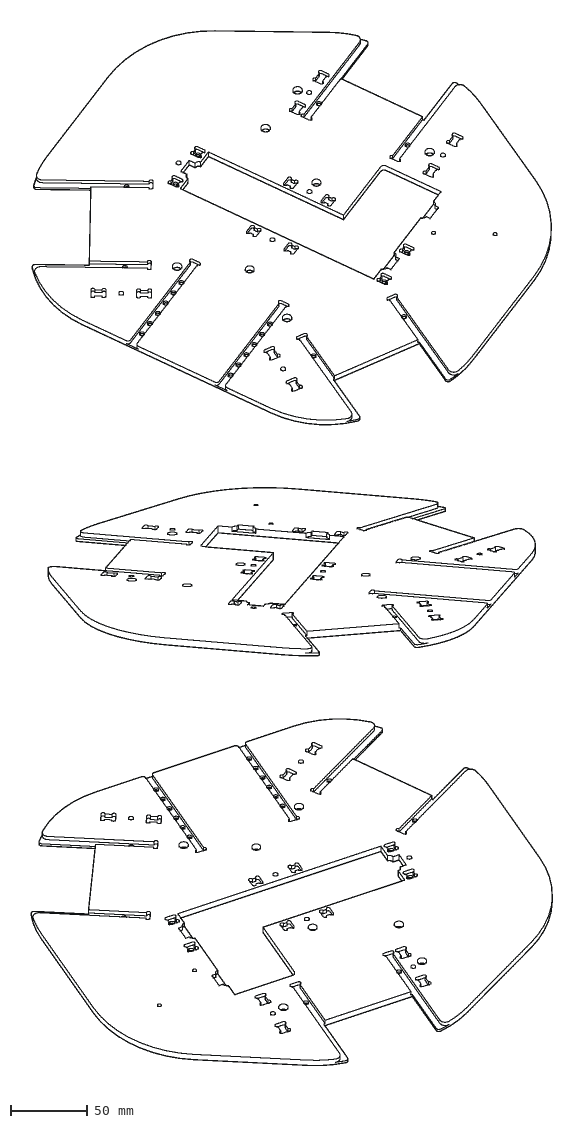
import cadquery as cq
import math

half_width = 162.8
bottom_y = -135.0
plate_thickness = 5.0
pocket_depth = 3.0
floor_thickness = plate_thickness - pocket_depth
tip_side_distance = 165.0
slanted_side_distance = 163.8
shoulder_radius = 80.0
tip_radius = 70.0

notch_angles = (90, 210, 330)
notch_half_width = 32.2
notch_floor_distance = 126.3
slot_offset = 34.0
slot_width = 5.2
slot_end_distance = 85.5
slot_hole_distance = 103.0
floor_tip_radius = 2.0
top_tip_radius = 4.0

bottom_slot_end_y = -54.0
bottom_slot_mouth_radius = 2.0
bottom_hole_count = 6
bottom_hole_first_y = -72.5
bottom_hole_pitch = 50.0 / (bottom_hole_count - 1)

opening_half_width = 74.0
opening_bottom_y = -7.0
opening_step_y = 28.5
opening_top_y = 78.5
opening_step_x = 29.3
opening_corner_radius = 2.5
opening_mid_y = (opening_bottom_y + opening_step_y) / 2
key_height = 10.7
key_mouth_radius = 2.5
left_key_length = 7.0
right_key_length = 5.5
right_key_spacing = 50.0

relief_diameter = 2.5
pocket_width = 5.2
long_pocket = 9.8
short_pocket = 7.5
long_pair_spacing = 30.0
short_pair_spacing = 28.5
top_joint_y = 105.5
top_joint_xs = (-43.0, 59.3)
slanted_joint_x = 62.0
slanted_joint_y = -102.5
slanted_joint_angle = 30
opening_joint_x = 79.8
opening_joint_ys = (-13.0, 34.2)

large_hole = 6.2
centre_hole = 6.0
small_hole = 3.3
pocket_hole = 3.2
pilot_hole = 2.5
large_hole_points = [(-50.5, 103.2), (50.5, 103.2), (-52.0, 65.0), (-42.0, -64.5), (42.0, -64.5)]
centre_hole_points = [(0, 43.0), (0, -42.0)]
pilot_hole_points = [(122.7, 66.0), (87.5, 46.2)]
keyway_hole_x = -86.0

reach = 130.2
tolerance = 0.03


def rotated(x, y, angle):
    """Point turned about the hub by an angle in degrees."""
    a = math.radians(angle)
    return x * math.cos(a) - y * math.sin(a), x * math.sin(a) + y * math.cos(a)


def turned(solid, angle):
    """Solid turned about the vertical axis through the hub."""
    return solid.rotate((0, 0, 0), (0, 0, 1), angle)


def box(x0, x1, y0, y1, height):
    """Box that stands on Z = 0."""
    return cq.Workplane("XY").box(x1 - x0, y1 - y0, height, centered=False).translate((x0, y0, 0))


def discs(points, diameter, height):
    """Upright cylinders that stand on Z = 0."""
    return cq.Workplane("XY").pushPoints(points).circle(diameter / 2).extrude(height)


def vertical_edges(solid, wanted):
    """Vertical edges of the solid whose X and Y pass the given test."""
    edges = [e for e in solid.edges("|Z").vals() if wanted(e.Center().x, e.Center().y)]
    return solid.newObject(edges)


def side_corner(side_a, side_b):
    """Corner of two sides, each given by its normal angle and hub distance."""
    angle_a, distance_a = side_a
    angle_b, distance_b = side_b
    a = math.radians(angle_a)
    b = math.radians(angle_b)
    turn = math.sin(b - a)
    x = (distance_a * math.sin(b) - distance_b * math.sin(a)) / turn
    y = (distance_b * math.cos(a) - distance_a * math.cos(b)) / turn
    return x, y


def rounded_plate(height):
    """Uncut plate with its outline corners rounded."""
    sides = [
        (90, tip_side_distance),
        (120, slanted_side_distance),
        (180, half_width),
        (210, tip_side_distance),
        (270, -bottom_y),
        (330, tip_side_distance),
        (0, half_width),
        (60, slanted_side_distance),
    ]
    corners = [side_corner(sides[i - 1], sides[i]) for i in range(len(sides))]
    shoulders = [corners[2], corners[7]]
    tips = [c for c in corners if c not in shoulders]
    plate = cq.Workplane("XY").polyline(corners).close().extrude(height)
    for points, radius in ((shoulders, shoulder_radius), (tips, tip_radius)):
        def on_corner(x, y):
            return any(math.dist((x, y), p) < tolerance for p in points)

        plate = vertical_edges(plate, on_corner).fillet(radius)
    return plate


def slot(height):
    """Slot that runs along +X from the origin, with relief in its end corners."""
    half = slot_width / 2
    relief = relief_diameter / 2
    body = box(0, reach, -half, half, height)
    return body.union(discs([(relief, -half), (relief, half)], relief_diameter, height))


def cut_notches(layer, height):
    """Cut the three notches through a layer."""
    for angle in notch_angles:
        notch = box(
            notch_floor_distance,
            notch_floor_distance + reach,
            -notch_half_width,
            notch_half_width,
            height,
        )
        layer = layer.cut(turned(notch, angle))
    return layer


def cut_slots(layer):
    """Cut the slots along the notch flanks and at the bottom edge."""
    for offset in (-slot_offset, slot_offset):
        flank_slot = slot(pocket_depth).translate((slot_end_distance, offset, 0))
        for angle in notch_angles:
            layer = layer.cut(turned(flank_slot, angle))
        layer = layer.cut(turned(slot(pocket_depth), -90).translate((offset, bottom_slot_end_y, 0)))
    return layer


def round_tips(layer, flank_offset, radius):
    """Round the corners where the notch flanks meet the outline."""
    def on_tip(x, y):
        for angle in notch_angles:
            along, across = rotated(x, y, -angle)
            if along > notch_floor_distance + tolerance and abs(abs(across) - flank_offset) < tolerance:
                return True
        return False

    return vertical_edges(layer, on_tip).fillet(radius)


def round_bottom_mouths(layer):
    """Round the corners where the straight slots meet the bottom edge."""
    def on_mouth(x, y):
        wall_distance = abs(abs(abs(x) - slot_offset) - slot_width / 2)
        return y < bottom_y + tolerance and wall_distance < tolerance

    return vertical_edges(layer, on_mouth).fillet(bottom_slot_mouth_radius)


def joint_pocket(x, y, length, angle=0):
    """Pocket in the top face with relieved corners, its length turned from X."""
    relief = relief_diameter / 2
    end = length / 2 - relief
    side = pocket_width / 2
    pocket = box(-length / 2, length / 2, -side, side, pocket_depth)
    reliefs = [(sx * end, sy * side) for sx in (-1, 1) for sy in (-1, 1)]
    pocket = pocket.union(discs(reliefs, relief_diameter, pocket_depth))
    return turned(pocket, angle).translate((x, y, floor_thickness))


def keyway(length, height):
    """Keyway that runs along +X from the origin, with a rounded mouth."""
    half = key_height / 2
    r = key_mouth_radius
    return (
        cq.Workplane("XY")
        .moveTo(0, -half - r)
        .radiusArc((r, -half), -r)
        .lineTo(length, -half)
        .lineTo(length, half)
        .lineTo(r, half)
        .radiusArc((0, half + r), -r)
        .close()
        .extrude(height)
    )


def opening():
    """L-shaped opening with its keyway through the left side."""
    long_leg = box(
        -opening_half_width, opening_half_width, opening_bottom_y, opening_step_y, plate_thickness
    )
    short_leg = box(
        opening_step_x, opening_half_width, opening_bottom_y, opening_top_y, plate_thickness
    )
    short_leg = short_leg.edges("<X and >Y and |Z").fillet(opening_corner_radius)
    left_key = turned(keyway(left_key_length, plate_thickness), 180)
    left_key = left_key.translate((-opening_half_width, opening_mid_y, 0))
    return long_leg.union(short_leg).union(left_key)


floor_layer = cut_notches(rounded_plate(floor_thickness), floor_thickness)
floor_layer = round_tips(floor_layer, notch_half_width, floor_tip_radius)
top_layer = cut_slots(cut_notches(rounded_plate(pocket_depth), pocket_depth))
top_layer = round_tips(top_layer, slot_offset + slot_width / 2, top_tip_radius)
top_layer = round_bottom_mouths(top_layer)
result = floor_layer.union(top_layer.translate((0, 0, floor_thickness)))

result = result.cut(opening())
for y in (opening_mid_y, opening_mid_y + right_key_spacing):
    right_key = keyway(right_key_length, pocket_depth)
    result = result.cut(right_key.translate((opening_half_width, y, floor_thickness)))

small_hole_points = []
pocket_hole_points = []
pockets = []
long_half = long_pair_spacing / 2
short_half = short_pair_spacing / 2
for x in top_joint_xs:
    small_hole_points.append((x, top_joint_y))
    for shift in (-long_half, long_half):
        pockets.append(joint_pocket(x, top_joint_y + shift, long_pocket, 90))
for side in (-1, 1):
    angle = -side * slanted_joint_angle
    small_hole_points.append((side * slanted_joint_x, slanted_joint_y))
    for shift in (-long_half, long_half):
        dx, dy = rotated(shift, 0, angle)
        x = side * slanted_joint_x + dx
        pockets.append(joint_pocket(x, slanted_joint_y + dy, long_pocket, angle))
for y in opening_joint_ys:
    small_hole_points.append((0, y))
    for shift in (-short_half, short_half):
        pockets.append(joint_pocket(shift, y, short_pocket))
for x in (-opening_joint_x, opening_joint_x):
    for shift in (-short_half, short_half):
        pockets.append(joint_pocket(x, opening_mid_y + shift, short_pocket, 90))
        pocket_hole_points.append((x, opening_mid_y + shift))
for pocket in pockets:
    result = result.cut(pocket)

for offset in (-slot_offset, slot_offset):
    for angle in notch_angles:
        small_hole_points.append(rotated(slot_hole_distance, offset, angle))
    for i in range(bottom_hole_count):
        small_hole_points.append((offset, bottom_hole_first_y - i * bottom_hole_pitch))
small_hole_points.append((keyway_hole_x, opening_mid_y))

for points, diameter in (
    (large_hole_points, large_hole),
    (centre_hole_points, centre_hole),
    (small_hole_points, small_hole),
    (pocket_hole_points, pocket_hole),
    (pilot_hole_points, pilot_hole),
):
    result = result.cut(discs(points, diameter, plate_thickness))